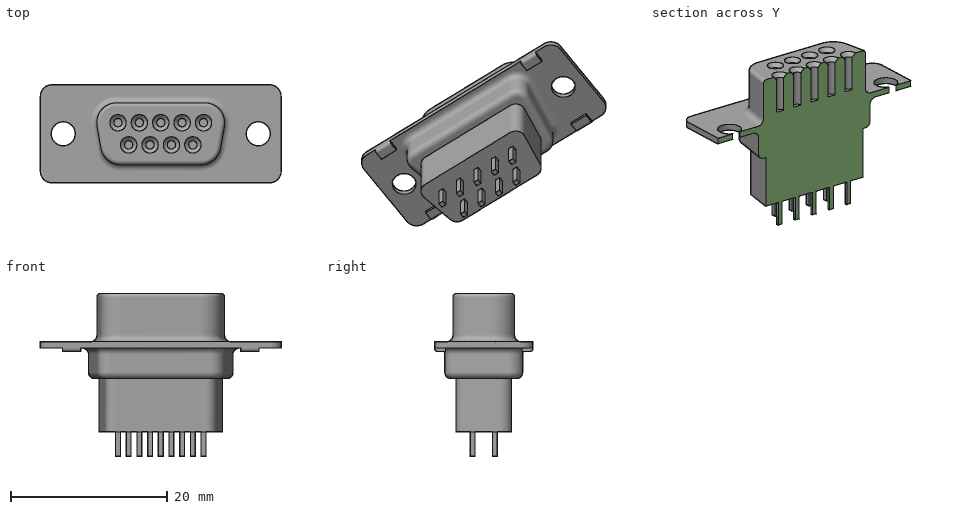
import cadquery as cq
import math


FLANGE_LENGTH = 30.89
FLANGE_WIDTH = 12.6
FLANGE_THICKNESS = 0.84
FLANGE_CORNER_RADIUS = 1.5
MOUNT_HOLE_DIAMETER = 3.05
MOUNT_HOLE_SPACING = 25.0

TAB_LENGTH = 2.35
TAB_WIDTH = 1.4
TAB_DROP = 0.45
TAB_SPACING = 22.84
TAB_EDGE_RADIUS = 0.4

SIDE_ANGLE = math.radians(10)
SHELL_SIZE = (16.4, 7.94, 2.55)
BAND_SIZE = (18.54, 10.0, 1.6)
BODY_SIZE = (15.84, 7.16, 1.25)

FACE_Z = 6.2
FLANGE_BOTTOM_Z = -FLANGE_THICKNESS
BAND_BOTTOM_Z = -4.75
BODY_BOTTOM_Z = -11.55
PIN_BOTTOM_Z = -14.7

FACE_RADIUS = 0.5
FLARE_RADIUS = 0.8
BAND_BOTTOM_RADIUS = 0.8

CONTACT_PITCH = 2.74
ROW_SPACING = 2.84
BACK_ROW_COUNT = 5
FRONT_ROW_COUNT = 4
SOCKET_DIAMETER = 1.05
SOCKET_DEPTH = 5.0
COUNTERSINK_DIAMETER = 2.1
COUNTERSINK_ANGLE = 90
PIN_WIDTH = 0.65


def d_prism(size, top_z, bottom_z):
    """Prism with a rounded D outline whose wide side faces +Y."""
    width, depth, radius = size
    half_depth = depth / 2
    corner_x = width / 2 - radius
    corner_y = half_depth - radius
    mid_half_width = corner_x + radius / math.cos(SIDE_ANGLE) - corner_y * math.tan(SIDE_ANGLE)
    lean = half_depth * math.tan(SIDE_ANGLE)
    wide = mid_half_width + lean
    narrow = mid_half_width - lean
    outline = [(-wide, half_depth), (wide, half_depth), (narrow, -half_depth), (-narrow, -half_depth)]
    return (
        cq.Workplane("XY", origin=(0, 0, bottom_z))
        .polyline(outline)
        .close()
        .extrude(top_z - bottom_z)
        .edges("|Z")
        .fillet(radius)
    )


def contact_points():
    """Centers of the contacts: the back row at +Y, the front row at -Y."""
    points = []
    for count, y in ((BACK_ROW_COUNT, ROW_SPACING / 2), (FRONT_ROW_COUNT, -ROW_SPACING / 2)):
        for index in range(count):
            points.append(((index - (count - 1) / 2) * CONTACT_PITCH, y))
    return points


def make_flange():
    """Flat plate with rounded corners and two mounting holes."""
    return (
        cq.Workplane("XY", origin=(0, 0, FLANGE_BOTTOM_Z))
        .rect(FLANGE_LENGTH, FLANGE_WIDTH)
        .extrude(FLANGE_THICKNESS)
        .edges("|Z")
        .fillet(FLANGE_CORNER_RADIUS)
        .faces(">Z")
        .workplane()
        .rarray(MOUNT_HOLE_SPACING, 1, 2, 1)
        .hole(MOUNT_HOLE_DIAMETER)
    )


def make_tab(side_x, side_y):
    """Tab under one corner region, rounded where it meets the long flange edge."""
    center_x = side_x * TAB_SPACING / 2
    center_y = side_y * (FLANGE_WIDTH - TAB_WIDTH) / 2
    outer_bottom_edge = ">Y and <Z" if side_y > 0 else "<Y and <Z"
    return (
        cq.Workplane("XY", origin=(center_x, center_y, FLANGE_BOTTOM_Z))
        .rect(TAB_LENGTH, TAB_WIDTH)
        .extrude(-TAB_DROP)
        .edges(outer_bottom_edge)
        .fillet(TAB_EDGE_RADIUS)
    )


def flare_joint(solid, size, z):
    """Fillet the inside corner where a D-shaped stage meets the flange at height z."""
    margin = 0.01
    half_x = size[0] / 2 + margin
    half_y = size[1] / 2 + margin
    joint = cq.selectors.BoxSelector((-half_x, -half_y, z - margin), (half_x, half_y, z + margin))
    return solid.edges(joint).fillet(FLARE_RADIUS)


def make_sockets():
    """Cutters for the blind countersunk contact sockets in the mating face."""
    blank = cq.Workplane("XY", origin=(0, 0, FACE_Z)).pushPoints(contact_points())
    bores = blank.circle(SOCKET_DIAMETER / 2).extrude(-SOCKET_DEPTH)
    slope = math.tan(math.radians(COUNTERSINK_ANGLE / 2))
    cone_height = (COUNTERSINK_DIAMETER - SOCKET_DIAMETER) / 2 / slope
    cone = cq.Solid.makeCone(SOCKET_DIAMETER / 2, COUNTERSINK_DIAMETER / 2, cone_height)
    for x, y in contact_points():
        bores = bores.union(cq.Workplane(cone.moved(cq.Location(cq.Vector(x, y, FACE_Z - cone_height)))))
    return bores


def make_pins():
    """Square solder pins below the body, one under each contact."""
    return (
        cq.Workplane("XY", origin=(0, 0, BODY_BOTTOM_Z))
        .pushPoints(contact_points())
        .rect(PIN_WIDTH, PIN_WIDTH)
        .extrude(PIN_BOTTOM_Z - BODY_BOTTOM_Z)
    )


shell = d_prism(SHELL_SIZE, FACE_Z, 0).faces(">Z").edges().fillet(FACE_RADIUS)
band = d_prism(BAND_SIZE, FLANGE_BOTTOM_Z, BAND_BOTTOM_Z).faces("<Z").edges().fillet(BAND_BOTTOM_RADIUS)
body = d_prism(BODY_SIZE, BAND_BOTTOM_Z, BODY_BOTTOM_Z)

result = make_flange().union(shell).union(band)
result = flare_joint(result, SHELL_SIZE, 0)
result = flare_joint(result, BAND_SIZE, FLANGE_BOTTOM_Z)
for side_x in (-1, 1):
    for side_y in (-1, 1):
        result = result.union(make_tab(side_x, side_y))
result = result.union(body).union(make_pins()).cut(make_sockets())